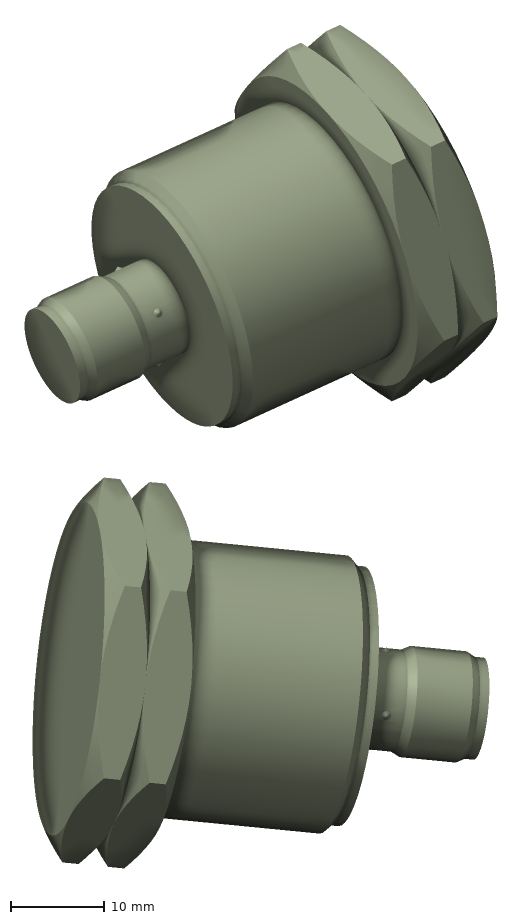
import cadquery as cq
import math

TOTAL_LENGTH = 45.0

NUT_COUNT = 2
NUT_WIDTH = 36.0
NUT_THICKNESS = TOTAL_LENGTH / 9
NUT_CHAMFER_ANGLE = 30.0

BARREL_DIAMETER = NUT_WIDTH * 5 / 6
BARREL_CHAMFER = 1.0
BARREL_NOSE_LENGTH = 1.0

CONNECTOR_DIAMETER = BARREL_DIAMETER * 0.4
CONNECTOR_STEP = 0.5
CONNECTOR_LENGTH = 14.0
TIP_LENGTH = 1.05
TIP_TAPER_LENGTH = 0.9
NECK_LENGTH = 5.0
NECK_TAPER_LENGTH = 1.0

STUD_COUNT = 4
STUD_DIAMETER = 1.0
STUD_HEIGHT = 0.35
STUD_ROOT = 0.22
STUD_SETBACK = 3.0
FIRST_STUD_ANGLE = 45.0


def revolve_about_y(profile):
    """Revolve a closed XY profile a full turn about the Y axis."""
    return profile.revolve(360, (0, 0, 0), (0, 1, 0))


barrel_radius = BARREL_DIAMETER / 2
nose_radius = barrel_radius - BARREL_CHAMFER
collar_radius = CONNECTOR_DIAMETER / 2
neck_radius = collar_radius - CONNECTOR_STEP
tip_y = -TOTAL_LENGTH
barrel_face_y = tip_y + CONNECTOR_LENGTH
neck_end_y = barrel_face_y - NECK_LENGTH


def make_turned_sensor():
    """Barrel and connector as one turned shape."""
    nose_end_y = barrel_face_y + BARREL_NOSE_LENGTH
    tip_end_y = tip_y + TIP_LENGTH
    profile = (
        cq.Workplane("XY")
        .moveTo(0, 0)
        .lineTo(barrel_radius, 0)
        .lineTo(barrel_radius, nose_end_y + BARREL_CHAMFER)
        .lineTo(nose_radius, nose_end_y)
        .lineTo(nose_radius, barrel_face_y)
        .lineTo(neck_radius, barrel_face_y)
        .lineTo(neck_radius, neck_end_y)
        .lineTo(collar_radius, neck_end_y - NECK_TAPER_LENGTH)
        .lineTo(collar_radius, tip_end_y + TIP_TAPER_LENGTH)
        .lineTo(neck_radius, tip_end_y)
        .lineTo(neck_radius, tip_y)
        .lineTo(0, tip_y)
        .close()
    )
    return revolve_about_y(profile)


def make_indicator_stud(angle):
    """Pointed stud with a cylindrical root sunk in the neck; the angle is about Y."""
    stud_radius = STUD_DIAMETER / 2
    root_x = neck_radius - STUD_ROOT
    return (
        cq.Workplane("XY")
        .moveTo(root_x, 0)
        .lineTo(root_x, stud_radius)
        .lineTo(neck_radius, stud_radius)
        .lineTo(neck_radius + STUD_HEIGHT, 0)
        .close()
        .revolve(360, (0, 0, 0), (1, 0, 0))
        .translate((0, barrel_face_y - STUD_SETBACK, 0))
        .rotate((0, 0, 0), (0, 1, 0), angle)
    )


def make_sensor():
    """Complete sensor with its indicator studs."""
    sensor = make_turned_sensor()
    for index in range(STUD_COUNT):
        sensor = sensor.union(make_indicator_stud(FIRST_STUD_ANGLE + index * 360 / STUD_COUNT))
    return sensor


def make_nut(back_y):
    """Hexagon nut chamfered on both faces, running from back_y towards -Y."""
    front_y = back_y - NUT_THICKNESS
    flat_radius = NUT_WIDTH / 2
    corner_radius = flat_radius / math.cos(math.pi / 6)
    chamfer_drop = (corner_radius - flat_radius) * math.tan(math.radians(NUT_CHAMFER_ANGLE))
    hexagon = (
        cq.Workplane("XZ", origin=(0, back_y, 0))
        .polygon(6, 2 * corner_radius)
        .extrude(NUT_THICKNESS)
    )
    ring = revolve_about_y(
        cq.Workplane("XY")
        .moveTo(barrel_radius, back_y)
        .lineTo(flat_radius, back_y)
        .lineTo(corner_radius, back_y - chamfer_drop)
        .lineTo(corner_radius, front_y + chamfer_drop)
        .lineTo(flat_radius, front_y)
        .lineTo(barrel_radius, front_y)
        .close()
    )
    return hexagon.intersect(ring)


sensor = make_sensor()
nuts = [make_nut(-index * NUT_THICKNESS) for index in range(NUT_COUNT)]

result = cq.Compound.makeCompound([sensor.val(), *[nut.val() for nut in nuts]])